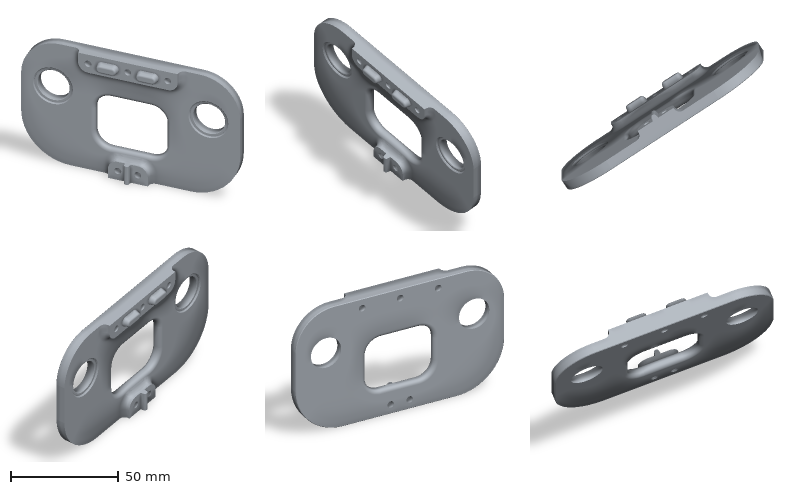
import cadquery as cq
import math


plate_length = 110.0
plate_height = 66.0
plate_thickness = 5.0
top_corner_radius = 20.0
bottom_corner_radius = 25.0
back_edge_chamfer = 0.3
top_edge = plate_height / 2
bottom_edge = -plate_height / 2

side_hole_offset_x = 39.0
side_hole_z = 9.0
side_hole_diameter = 16.0
side_recess_diameter = 19.0
side_recess_depth = 0.8
side_hole_chamfer = 0.3
side_recess_chamfer = 0.5

window_width = 36.0
window_top = 9.6
window_bottom = -19.0
window_edge_radius = 2.0
window_corner_radius = 8.0

pad_rise = 3.5
pad_height = 10.0
top_pad_width = 50.0
bottom_pad_width = 20.0
pad_corner_radius = pad_height / 2
pad_base_radius = 3.0
pad_face = plate_thickness + pad_rise

screw_hole_diameter = 3.4
screw_edge_distance = pad_height / 2
top_screw_spacing = 20.0
bottom_screw_spacing = 10.0

boss_spacing = 20.0
boss_length = 11.1
boss_width = 5.2
boss_rise = 3.1
boss_draft = 15.0
boss_tip_radius = 1.0
rib_width = 3.0
rib_rise = 2.5
rib_draft = 10.0
rib_tip_radius = 1.0

window_margin = 1.1
pad_margin = 0.1


def front_plane(depth):
    """Sketch plane at a depth in front of the back face, extruding towards -Y."""
    return cq.Workplane("XZ", origin=(0, -depth, 0))


def make_plate():
    plate = front_plane(0).rect(plate_length, plate_height).extrude(plate_thickness)
    plate = plate.edges("|Y and >Z").fillet(top_corner_radius)
    plate = plate.edges("|Y and <Z").fillet(bottom_corner_radius)
    return plate.faces(">Y").edges().chamfer(back_edge_chamfer)


def cut_window(body):
    """Rounded window with its rims rounded on both faces of the plate."""
    window = (
        front_plane(0)
        .center(0, (window_top + window_bottom) / 2)
        .rect(window_width, window_top - window_bottom)
        .extrude(plate_thickness)
        .edges("|Y")
        .fillet(window_corner_radius)
    )
    body = body.cut(window)
    half_width = window_width / 2
    rims = cq.selectors.BoxSelector(
        (-half_width - window_margin, -plate_thickness - window_margin, window_bottom - window_margin),
        (half_width + window_margin, window_margin, window_top + window_margin),
    )
    return body.edges(rims).edges("#Y").fillet(window_edge_radius)


def add_pad(body, width, edge_z, inward):
    """Pad flush with a plate edge; inward is +1 or -1 along Z, away from that edge."""
    inner_side = ">Z" if inward > 0 else "<Z"
    pad = (
        front_plane(plate_thickness)
        .center(0, edge_z + inward * pad_height / 2)
        .rect(width, pad_height)
        .extrude(pad_rise)
        .edges("|Y")
        .edges(inner_side)
        .fillet(pad_corner_radius)
    )
    base_z = sorted((edge_z + inward * pad_margin, edge_z + inward * (pad_height + pad_margin)))
    base = cq.selectors.BoxSelector(
        (-width / 2 - pad_margin, -plate_thickness - pad_margin, base_z[0]),
        (width / 2 + pad_margin, -plate_thickness + pad_margin, base_z[1]),
    )
    return body.union(pad).edges(base).fillet(pad_base_radius)


def cut_side_hole(body, x):
    """Through hole with a shallow front recess, both edges chamfered."""
    hole_radius = side_hole_diameter / 2
    recess_radius = side_recess_diameter / 2
    recess_floor = plate_thickness - side_recess_depth
    profile = [
        (0, 0),
        (hole_radius, 0),
        (hole_radius, recess_floor - side_hole_chamfer),
        (hole_radius + side_hole_chamfer, recess_floor),
        (recess_radius, recess_floor),
        (recess_radius, plate_thickness - side_recess_chamfer),
        (recess_radius + side_recess_chamfer, plate_thickness),
        (0, plate_thickness),
    ]
    cutter = (
        cq.Workplane("XY")
        .polyline([(radius, -depth) for radius, depth in profile])
        .close()
        .revolve(360, (0, 0), (0, 1))
    )
    return body.cut(cutter.translate((x, 0, side_hole_z)))


def cut_screw_holes(body, places):
    holes = front_plane(0).pushPoints(places).circle(screw_hole_diameter / 2).extrude(pad_face)
    return body.cut(holes)


def make_boss(x, z):
    """Round-ended boss with drafted sides and a rounded tip."""
    return (
        front_plane(pad_face)
        .center(x, z)
        .slot2D(boss_length, boss_width)
        .extrude(boss_rise, taper=boss_draft)
        .faces("<Y")
        .edges()
        .fillet(boss_tip_radius)
    )


def make_rib():
    """Drafted rib with rounded tip edges, as long as the bottom pad is high."""
    base_half_width = rib_width / 2
    tip_half_width = base_half_width - rib_rise * math.tan(math.radians(rib_draft))
    profile = [
        (-base_half_width, 0),
        (-tip_half_width, -rib_rise),
        (tip_half_width, -rib_rise),
        (base_half_width, 0),
    ]
    return (
        cq.Workplane("XY", origin=(0, -pad_face, bottom_edge))
        .polyline(profile)
        .close()
        .extrude(pad_height)
        .faces("<Y")
        .edges("|Z")
        .fillet(rib_tip_radius)
    )


top_row_z = top_edge - screw_edge_distance
bottom_row_z = bottom_edge + screw_edge_distance
top_screws = [(i * top_screw_spacing, top_row_z) for i in (-1, 0, 1)]
bottom_screws = [(side * bottom_screw_spacing / 2, bottom_row_z) for side in (-1, 1)]

result = cut_window(make_plate())
result = add_pad(result, top_pad_width, top_edge, -1)
result = add_pad(result, bottom_pad_width, bottom_edge, 1)
result = cut_screw_holes(result, top_screws + bottom_screws)
for side in (-1, 1):
    result = cut_side_hole(result, side * side_hole_offset_x)
    result = result.union(make_boss(side * boss_spacing / 2, top_row_z))
result = result.union(make_rib())